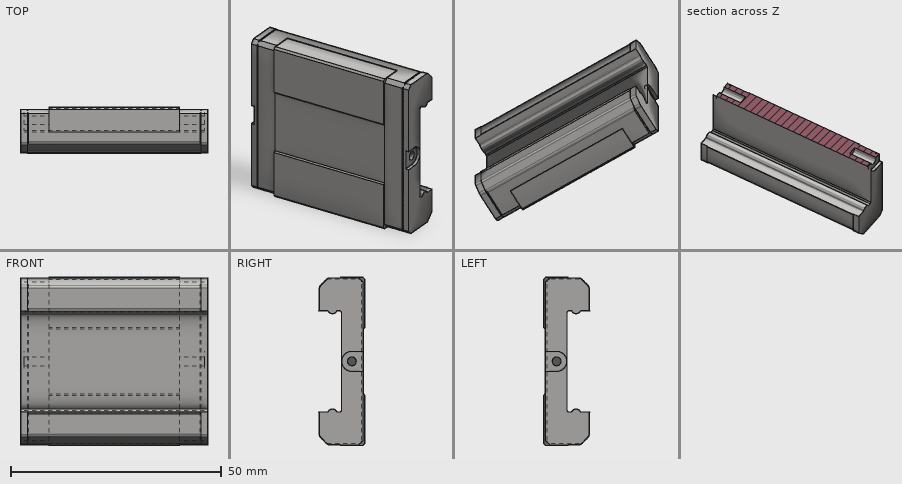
import cadquery as cq
import math

total_length = 44.5
total_depth = 11.0
total_height = 40.0

wrap_length = 31.0
wrap_back_thickness = 0.5
wrap_leg_thickness = 0.15
wrap_leg_depth = 5.85
wrap_corner_chamfer = 0.5
wrap_groove_height = 15.4
wrap_groove_depth = 0.35

back_depth = wrap_back_thickness
half_height = total_height / 2 - wrap_leg_thickness
cap_front_depth = 10.85
block_front_depth = 10.75
cap_thickness = 1.6
block_length = total_length - 2 * cap_thickness
back_chamfer = 1.0
block_front_chamfer = 2.15
cap_front_chamfer = 2.05
front_blend_radius = 1.0
block_end_chamfer = 0.3

channel_half_height = 12.0
channel_floor_depth = 5.57
floor_bevel = 0.3
lip_height = 0.45
bead_center_depth = 7.72
bead_width = 2.1
bead_height = 0.7
bead_root_radius = 0.12

recess_radius = 2.4
recess_center_depth = 3.1
recess_cut = 0.8
hole_diameter = 2.1
hole_depth = 6.0

position_tolerance = 0.001


def extrude_along_x(outline, length):
    """Extrude a closed (Y, Z) outline, centred on X = 0."""
    return outline.close().extrude(length / 2, both=True)


def c_section(length, front_depth, front_chamfer):
    """C-shaped bar with chamfered back corners and softened front corners."""
    depth = front_depth - back_depth
    bar = cq.Workplane("XY").box(length, depth, 2 * half_height)
    bar = bar.translate((0, -(back_depth + front_depth) / 2, 0))
    bar = bar.edges("|X and >Y").chamfer(back_chamfer)
    bar = bar.edges("|X and <Y").chamfer(front_chamfer)

    slope_start_y = front_chamfer - front_depth
    slope_edges = bar.edges("|X").filter(
        lambda edge: edge.Center().y <= slope_start_y + position_tolerance
    )
    bar = slope_edges.fillet(front_blend_radius)

    channel_depth = total_depth - channel_floor_depth
    channel = cq.Workplane("XY").box(length, channel_depth, 2 * channel_half_height)
    channel = channel.translate((0, -(channel_floor_depth + total_depth) / 2, 0))
    return bar.cut(channel)


def chamfered_envelope():
    """Box whose end edges are chamfered at the top, bottom and back."""
    depth = total_depth - back_depth
    box = cq.Workplane("XY").box(block_length, depth, 2 * half_height)
    box = box.translate((0, -(back_depth + total_depth) / 2, 0))
    back_end_edges = box.faces(">Y").edges("|Z")
    box = back_end_edges.chamfer(block_end_chamfer)
    top_and_bottom_end_edges = box.faces("<Z or >Z").edges("<X or >X")
    return top_and_bottom_end_edges.chamfer(block_end_chamfer)


def lip(side):
    """Small wedge standing out of the block front along one channel wall."""
    wall = side * channel_half_height
    outline = (
        cq.Workplane("YZ")
        .moveTo(-block_front_depth, wall)
        .lineTo(-total_depth, wall)
        .lineTo(-block_front_depth, wall + side * lip_height)
    )
    return extrude_along_x(outline, block_length)


def bead(side):
    """Round bead running the full length of one channel wall."""
    wall = side * channel_half_height
    outline = (
        cq.Workplane("YZ")
        .moveTo(-bead_center_depth - bead_width / 2, wall)
        .threePointArc(
            (-bead_center_depth, wall - side * bead_height),
            (-bead_center_depth + bead_width / 2, wall),
        )
    )
    return extrude_along_x(outline, total_length)


def floor_corner(side):
    """Narrow bevel filling the corner between the channel floor and one wall."""
    wall = side * channel_half_height
    outline = (
        cq.Workplane("YZ")
        .moveTo(-channel_floor_depth, wall)
        .lineTo(-channel_floor_depth - floor_bevel, wall)
        .lineTo(-channel_floor_depth, wall - side * floor_bevel)
    )
    return extrude_along_x(outline, total_length)


def end_cap(side):
    """Cap closing one end of the block."""
    offset = side * (total_length - cap_thickness) / 2
    return c_section(cap_thickness, cap_front_depth, cap_front_chamfer).translate((offset, 0, 0))


def wrap():
    """Thin U-shaped plate behind the block, with a bevelled groove along its back."""
    outer = cq.Workplane("XY").box(wrap_length, wrap_leg_depth, total_height)
    outer = outer.translate((0, -wrap_leg_depth / 2, 0))
    outer = outer.edges("|X and >Y").chamfer(wrap_corner_chamfer)

    opening_depth = wrap_leg_depth - back_chamfer - back_depth
    opening = cq.Workplane("XY").box(wrap_length, opening_depth, 2 * half_height)
    opening = opening.translate((0, -wrap_leg_depth + opening_depth / 2, 0))

    groove_half = wrap_groove_height / 2
    groove_outline = cq.Workplane("YZ").polyline([
        (0, groove_half + wrap_groove_depth),
        (-wrap_groove_depth, groove_half),
        (-wrap_groove_depth, -groove_half),
        (0, -groove_half - wrap_groove_depth),
    ])
    groove = extrude_along_x(groove_outline, wrap_length)
    return outer.cut(opening).cut(groove)


def end_recess(side):
    """U-shaped recess, open to the back, with a blind screw hole in its floor."""
    end_x = side * total_length / 2
    plane = cq.Plane(origin=(end_x, 0, 0), xDir=(0, 1, 0), normal=(1, 0, 0))
    slot = (
        cq.Workplane(plane)
        .moveTo(0, recess_radius)
        .lineTo(-recess_center_depth, recess_radius)
        .threePointArc(
            (-recess_center_depth - recess_radius, 0),
            (-recess_center_depth, -recess_radius),
        )
        .lineTo(0, -recess_radius)
        .close()
        .extrude(-side * recess_cut)
    )
    hole = (
        cq.Workplane(plane)
        .center(-recess_center_depth, 0)
        .circle(hole_diameter / 2)
        .extrude(-side * (recess_cut + hole_depth))
    )
    return slot.union(hole)


def is_bead_root(edge):
    """True for the edges where a bead meets its channel wall."""
    center = edge.Center()
    on_wall = math.isclose(abs(center.z), channel_half_height, abs_tol=position_tolerance)
    distance = abs(center.y + bead_center_depth)
    return on_wall and math.isclose(distance, bead_width / 2, abs_tol=position_tolerance)


def blend_bead_roots(body):
    """Small concave fillets along both sides of each bead."""
    return body.edges("|X").filter(is_bead_root).fillet(bead_root_radius)


part = c_section(block_length, block_front_depth, block_front_chamfer).intersect(chamfered_envelope())
part = part.union(wrap())
for side in (-1, 1):
    part = part.union(lip(side))
    part = part.union(end_cap(side))
    part = part.union(bead(side))
    part = part.union(floor_corner(side))
part = blend_bead_roots(part)
for side in (-1, 1):
    part = part.cut(end_recess(side))

result = part